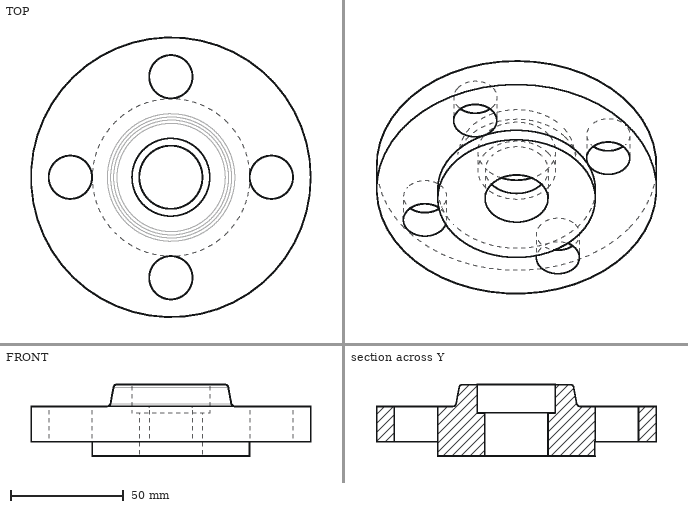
import cadquery as cq
import math

flange_diameter = 123.9
flange_thickness = 15.7
raised_face_diameter = 69.8
raised_face_height = 6.3

hub_base_diameter = 54.0
hub_height = 9.7
hub_taper_degrees = 10.5
hub_fillet_radius = 1.5

socket_diameter = 34.5
socket_depth = 12.6
bore_diameter = 27.9

bolt_count = 4
bolt_circle_diameter = 89.0
bolt_hole_diameter = 19.1

flange_bottom = raised_face_height
flange_top = flange_bottom + flange_thickness
hub_top = flange_top + hub_height

hub_base_radius = hub_base_diameter / 2
hub_top_radius = hub_base_radius - hub_height * math.tan(math.radians(hub_taper_degrees))


def make_body():
    """Revolve the solid outline: raised face, flange plate and tapered hub."""
    outline = [
        (0, 0),
        (raised_face_diameter / 2, 0),
        (raised_face_diameter / 2, flange_bottom),
        (flange_diameter / 2, flange_bottom),
        (flange_diameter / 2, flange_top),
        (hub_base_radius, flange_top),
        (hub_top_radius, hub_top),
        (0, hub_top),
    ]
    return cq.Workplane("XZ").polyline(outline).close().revolve(360, (0, 0), (0, 1))


def round_hub(body):
    """Round the hub rim and blend the hub root into the flange plate."""
    rim = body.faces(">Z").edges()
    body = rim.fillet(hub_fillet_radius)
    hub_root = cq.selectors.RadiusNthSelector(0)
    plate_top = body.faces("|Z").faces(">Z[-2]")
    return plate_top.edges(hub_root).fillet(hub_fillet_radius)


def cut_socket_and_bore(body):
    """Cut the pipe socket from the hub end and the smaller bore right through."""
    return body.faces(">Z").workplane(origin=(0, 0, hub_top)).cboreHole(
        bore_diameter, socket_diameter, socket_depth
    )


def cut_bolt_holes(body):
    """Cut the bolt holes through the flange plate, the first one on the X axis."""
    return (
        body.faces("<Z")
        .workplane(origin=(0, 0, 0))
        .polarArray(bolt_circle_diameter / 2, 0, 360, bolt_count)
        .hole(bolt_hole_diameter)
    )


result = cut_bolt_holes(cut_socket_and_bore(round_hub(make_body())))